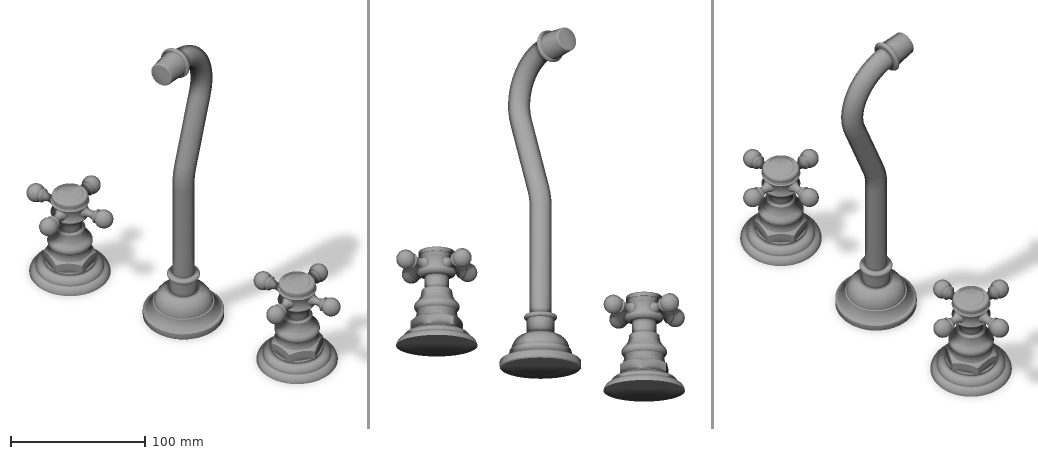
import cadquery as cq
import math


overall_length = 274.0
handle_span = 74.0
arm_reach = handle_span / 2
handle_offset = (overall_length - handle_span) / 2
hot_base_turn = 0.0
cold_base_turn = -45.0
flange_radius = 30.5

rim_height = 6.3
rim_bevel = 0.8
bell_foot_radius = 28.0
bell_step_height = 13.7
bell_step_outer_radius = 23.0
bell_step_inner_radius = 22.0
bell_foot_cove = 1.0
bell_dome_bulge = 2.2
bell_top_radius = 13.7
bell_top_height = 25.2

pipe_radius = 8.2
bead_radius = 12.3
bead_width = 3.5
bead_core_radius = bead_radius - bead_width / 2
socket_radius = 10.5
socket_top_height = 37.5
pipe_bend_height = 125.5
lean_angle = 20.0
lower_bend_radius = 39.7
leaning_length = 60.0
upper_bend_radius = 38.0
nozzle_rise_angle = 4.6
nozzle_length = 21.6
nozzle_tip_radius = 9.0
nozzle_edge_fillet = 1.0

flange_step_height = 5.5
flange_step_outer_radius = 26.3
flange_step_inner_radius = 25.5
flange_top_height = 10.5
flange_top_radius = 21.0
flange_bulge = 0.95
washer_radius = 19.0
nut_bottom_height = 12.0
nut_flats = 34.3
nut_corner_radius = nut_flats / 2 / math.cos(math.radians(30))
nut_corner_height = 18.4
nut_top_height = 21.0
neck_bottom_radius = 16.2
neck_cove = 0.5
bonnet_ring_height = 26.9
bonnet_ring_bottom_radius = 15.3
bonnet_ring_top_height = 32.5
bonnet_ring_top_radius = 16.0
bonnet_ring_bulge = 1.5
shoulder_height = 35.0
shoulder_radius = 13.7
shoulder_cove = 0.69
collar_height = 42.5
collar_radius = 11.5
collar_bevel = 0.8

stem_radius = 9.0
hub_bottom_height = 53.5
hub_bottom_radius = 10.0
waist_bottom_height = 56.5
waist_top_height = 67.1
waist_rim_radius = 14.5
waist_cove = 1.5
hub_foot_bulge = 1.0
cap_radius = 13.7
cap_bottom_height = 68.0
groove_bottom_height = 68.5
groove_top_height = 70.0
groove_depth = 0.5
cap_edge_height = 71.5
cap_ledge_height = 73.5
cap_ledge_radius = 11.5
cap_edge_bulge = 0.5
button_foot_radius = 10.1
button_radius = 9.3
button_edge_height = 74.0
button_crown = 0.5
crown_radius = (button_radius**2 + button_crown**2) / (2 * button_crown)

arm_count = 4
arm_height = (waist_bottom_height + waist_top_height) / 2
ball_radius = 7.0
ball_center = arm_reach - ball_radius
ball_neck_reach = 25.8
ball_neck_radius = math.sqrt(ball_radius**2 - (ball_center - ball_neck_reach) ** 2)
ball_neck_cove = 0.3
arm_bead_outer_reach = 24.5
arm_bead_inner_reach = 22.7
arm_bead_radius = 5.0
arm_bead_bulge = 0.5
arm_root_reach = 13.5
arm_root_radius = 4.7
arm_cove = 2.0


def make_bell():
    """Spout base: flat rim, cove, small step and domed top."""
    return (
        cq.Workplane("XZ")
        .lineTo(flange_radius - rim_bevel, 0)
        .lineTo(flange_radius, rim_bevel)
        .lineTo(flange_radius, rim_height - rim_bevel)
        .lineTo(flange_radius - rim_bevel, rim_height)
        .lineTo(bell_foot_radius, rim_height)
        .sagittaArc((bell_step_outer_radius, bell_step_height), bell_foot_cove)
        .lineTo(bell_step_inner_radius, bell_step_height)
        .sagittaArc((bell_top_radius, bell_top_height), -bell_dome_bulge)
        .lineTo(0, bell_top_height)
        .close()
        .revolve(360, (0, 0, 0), (0, 1, 0))
    )


def make_socket():
    """Cylinder that holds the pipe, with a rounded bead at its mouth."""
    return (
        cq.Workplane("XZ")
        .moveTo(0, bell_top_height)
        .lineTo(socket_radius, bell_top_height)
        .lineTo(socket_radius, socket_top_height)
        .lineTo(bead_core_radius, socket_top_height)
        .sagittaArc((bead_core_radius, socket_top_height + bead_width), -bead_width / 2)
        .lineTo(0, socket_top_height + bead_width)
        .close()
        .revolve(360, (0, 0, 0), (0, 1, 0))
    )


def bend_point(center, radius, angle):
    """Point on a bend in the YZ plane, the angle measured from +Y toward +Z."""
    turn = math.radians(angle)
    return (center[0] + radius * math.cos(turn), center[1] + radius * math.sin(turn))


lean = math.radians(lean_angle)
lower_bend_center = (lower_bend_radius, pipe_bend_height)
lower_bend_middle = bend_point(lower_bend_center, lower_bend_radius, 180 - lean_angle / 2)
lean_start = bend_point(lower_bend_center, lower_bend_radius, 180 - lean_angle)
lean_end = (
    lean_start[0] + leaning_length * math.sin(lean),
    lean_start[1] + leaning_length * math.cos(lean),
)
upper_bend_center = (
    lean_end[0] - upper_bend_radius * math.cos(lean),
    lean_end[1] + upper_bend_radius * math.sin(lean),
)
upper_bend_end_angle = 90 - nozzle_rise_angle
upper_bend_middle = bend_point(
    upper_bend_center, upper_bend_radius, (upper_bend_end_angle - lean_angle) / 2
)
pipe_end = bend_point(upper_bend_center, upper_bend_radius, upper_bend_end_angle)


def make_pipe():
    """Round bar swept from the top of the bell along the swan neck."""
    path = (
        cq.Workplane("YZ")
        .moveTo(0, bell_top_height)
        .lineTo(0, pipe_bend_height)
        .threePointArc(lower_bend_middle, lean_start)
        .lineTo(*lean_end)
        .threePointArc(upper_bend_middle, pipe_end)
    )
    return cq.Workplane("XY", origin=(0, 0, bell_top_height)).circle(pipe_radius).sweep(path)


def make_nozzle():
    """Tapered nozzle with a bead at its root, in line with the end of the pipe."""
    rise = math.radians(nozzle_rise_angle)
    nozzle_plane = cq.Plane(
        origin=(0, pipe_end[0], pipe_end[1]),
        xDir=(1, 0, 0),
        normal=(0, math.sin(rise), math.cos(rise)),
    )
    nozzle = (
        cq.Workplane(nozzle_plane)
        .lineTo(bead_core_radius, 0)
        .sagittaArc((bead_core_radius, -bead_width), bead_width / 2)
        .lineTo(socket_radius, -bead_width)
        .lineTo(nozzle_tip_radius, -nozzle_length)
        .lineTo(0, -nozzle_length)
        .close()
        .revolve(360, (0, 0, 0), (0, 1, 0))
    )
    tip_face = cq.selectors.DirectionMinMaxSelector(nozzle_plane.yDir, False)
    return nozzle.faces(tip_face).edges().fillet(nozzle_edge_fillet)


def make_spout():
    return make_bell().union(make_socket()).union(make_pipe()).union(make_nozzle())


def make_escutcheon():
    """Two stacked rounded steps topped by a thin washer."""
    return (
        cq.Workplane("XZ")
        .lineTo(flange_radius, 0)
        .sagittaArc((flange_step_outer_radius, flange_step_height), -flange_bulge)
        .lineTo(flange_step_inner_radius, flange_step_height)
        .sagittaArc((flange_top_radius, flange_top_height), -flange_bulge)
        .lineTo(washer_radius, flange_top_height)
        .lineTo(washer_radius, nut_bottom_height)
        .lineTo(0, nut_bottom_height)
        .close()
        .revolve(360, (0, 0, 0), (0, 1, 0))
    )


def make_nut():
    """Hexagon with corners on the Y axis, its top turned to a cone."""
    hexagon = (
        cq.Workplane("XY", origin=(0, 0, nut_bottom_height))
        .polygon(6, 2 * nut_corner_radius)
        .extrude(nut_top_height - nut_bottom_height)
        .rotate((0, 0, 0), (0, 0, 1), 90)
    )
    cone = (
        cq.Workplane("XZ")
        .moveTo(0, nut_bottom_height)
        .lineTo(nut_corner_radius, nut_bottom_height)
        .lineTo(nut_corner_radius, nut_corner_height)
        .lineTo(neck_bottom_radius, nut_top_height)
        .lineTo(0, nut_top_height)
        .close()
        .revolve(360, (0, 0, 0), (0, 1, 0))
    )
    return hexagon.intersect(cone)


def make_bonnet():
    """Turned bonnet: coved neck, rounded ring, coved shoulder and collar."""
    return (
        cq.Workplane("XZ")
        .moveTo(0, nut_top_height)
        .lineTo(neck_bottom_radius, nut_top_height)
        .sagittaArc((bonnet_ring_bottom_radius, bonnet_ring_height), neck_cove)
        .sagittaArc((bonnet_ring_top_radius, bonnet_ring_top_height), -bonnet_ring_bulge)
        .lineTo(shoulder_radius, shoulder_height)
        .sagittaArc((collar_radius, collar_height), shoulder_cove)
        .lineTo(collar_radius - collar_bevel, collar_height + collar_bevel)
        .lineTo(0, collar_height + collar_bevel)
        .close()
        .revolve(360, (0, 0, 0), (0, 1, 0))
    )


def make_hub():
    """Stem, waisted hub and grooved cap with a slightly crowned button."""
    return (
        cq.Workplane("XZ")
        .moveTo(0, collar_height)
        .lineTo(stem_radius, collar_height)
        .lineTo(stem_radius, hub_bottom_height)
        .lineTo(hub_bottom_radius, hub_bottom_height)
        .sagittaArc((waist_rim_radius, waist_bottom_height), -hub_foot_bulge)
        .sagittaArc((waist_rim_radius, waist_top_height), waist_cove)
        .lineTo(cap_radius, cap_bottom_height)
        .lineTo(cap_radius, groove_bottom_height)
        .lineTo(cap_radius - groove_depth, groove_bottom_height)
        .lineTo(cap_radius - groove_depth, groove_top_height)
        .lineTo(cap_radius, groove_top_height)
        .lineTo(cap_radius, cap_edge_height)
        .sagittaArc((cap_ledge_radius, cap_ledge_height), -cap_edge_bulge)
        .lineTo(button_foot_radius, cap_ledge_height)
        .lineTo(button_radius, button_edge_height)
        .radiusArc((0, button_edge_height + button_crown), -crown_radius)
        .close()
        .revolve(360, (0, 0, 0), (0, 1, 0))
    )


def make_arm():
    """One turned arm along +X: flared root, bead and ball end."""
    ball_side = ball_radius / math.sqrt(2)
    return (
        cq.Workplane("XZ", origin=(0, 0, arm_height))
        .lineTo(0, arm_root_radius)
        .lineTo(arm_root_reach, arm_root_radius)
        .sagittaArc((arm_bead_inner_reach, arm_bead_radius), -arm_cove)
        .sagittaArc((arm_bead_outer_reach, arm_bead_radius), arm_bead_bulge)
        .sagittaArc((ball_neck_reach, ball_neck_radius), -ball_neck_cove)
        .threePointArc((ball_center + ball_side, ball_side), (arm_reach, 0))
        .close()
        .revolve(360, (0, 0, 0), (1, 0, 0))
    )


def make_handle(base_turn):
    """One handle body, its base turned about Z while the cross stays square."""
    base = make_escutcheon().union(make_nut()).union(make_bonnet())
    handle = base.rotate((0, 0, 0), (0, 0, 1), base_turn).union(make_hub())
    for index in range(arm_count):
        handle = handle.union(make_arm().rotate((0, 0, 0), (0, 0, 1), index * 360 / arm_count))
    return handle


spout = make_spout()
handles = []
for side, base_turn in ((-1, hot_base_turn), (1, cold_base_turn)):
    handle = make_handle(base_turn).translate((side * handle_offset, 0, 0))
    handles.extend(handle.solids().vals())

result = cq.Compound.makeCompound([*spout.solids().vals(), *handles])